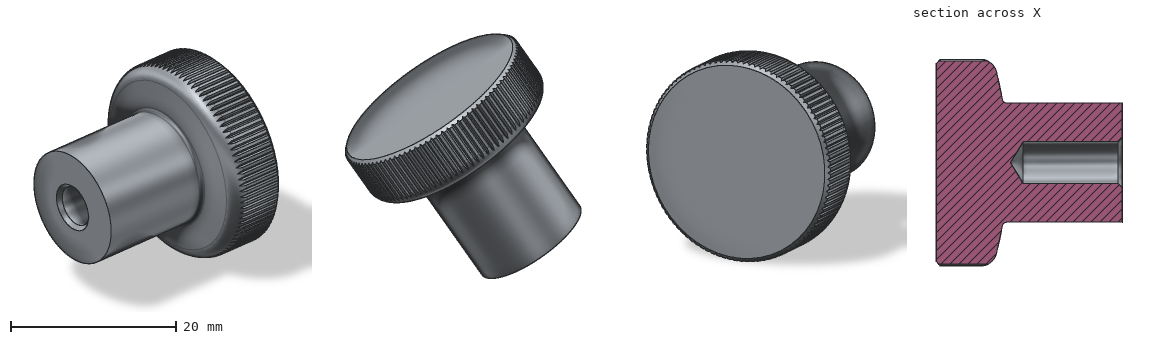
import cadquery as cq
import math


total_length = 22.5
head_radius = 12.5
stem_radius = 7.25

head_edge_length = 7.0
face_slope = 12.0
back_chamfer = 0.5
rim_fillet = 2.0
neck_fillet = 0.5

groove_count = 100
groove_depth = 0.2
groove_angle = 90.0
groove_overshoot = 0.1

hole_radius = 2.5
hole_chamfer = 0.5
hole_depth = 12.0
drill_tip_angle = 118.0


def knob_body():
    """Solid of revolution: head, sloping face and stem."""
    rim_corner_y = total_length - head_edge_length
    neck_y = rim_corner_y - (head_radius - stem_radius) * math.tan(math.radians(face_slope))

    turn = math.radians(90 - face_slope)
    rim_tangent = rim_fillet * math.tan(turn / 2)
    neck_tangent = neck_fillet * math.tan(turn / 2)
    slope_out = math.cos(math.radians(face_slope))
    slope_up = math.sin(math.radians(face_slope))

    neck_top = (stem_radius + neck_tangent * slope_out, neck_y + neck_tangent * slope_up)
    rim_bottom = (head_radius - rim_tangent * slope_out, rim_corner_y - rim_tangent * slope_up)

    profile = (
        cq.Workplane("XY")
        .lineTo(stem_radius, 0)
        .lineTo(stem_radius, neck_y - neck_tangent)
        .radiusArc(neck_top, neck_fillet)
        .lineTo(*rim_bottom)
        .radiusArc((head_radius, rim_corner_y + rim_tangent), -rim_fillet)
        .lineTo(head_radius, total_length - back_chamfer)
        .lineTo(head_radius - back_chamfer, total_length)
        .lineTo(0, total_length)
        .close()
    )
    return profile.revolve(360, (0, 0, 0), (0, 1, 0))


def knurl_grooves():
    """Ring of V-shaped bars, one of them at the top (+Z), long enough to run out of the rim."""
    half_width = (groove_depth + groove_overshoot) * math.tan(math.radians(groove_angle / 2))
    bar = (
        cq.Workplane("XZ", origin=(0, total_length, 0))
        .moveTo(0, head_radius - groove_depth)
        .lineTo(half_width, head_radius + groove_overshoot)
        .lineTo(-half_width, head_radius + groove_overshoot)
        .close()
        .extrude(head_edge_length)
    )
    grooves = cq.Workplane("XY")
    for index in range(groove_count):
        grooves.add(bar.rotate((0, 0, 0), (0, 1, 0), index * 360 / groove_count))
    return grooves.combine(glue=True)


def stem_hole():
    """Blind hole with a chamfered mouth and a conical drill tip."""
    tip_length = hole_radius / math.tan(math.radians(drill_tip_angle / 2))
    profile = (
        cq.Workplane("XY")
        .lineTo(hole_radius + hole_chamfer, 0)
        .lineTo(hole_radius, hole_chamfer)
        .lineTo(hole_radius, hole_depth)
        .lineTo(0, hole_depth + tip_length)
        .close()
    )
    return profile.revolve(360, (0, 0, 0), (0, 1, 0))


result = knob_body().cut(stem_hole()).cut(knurl_grooves())